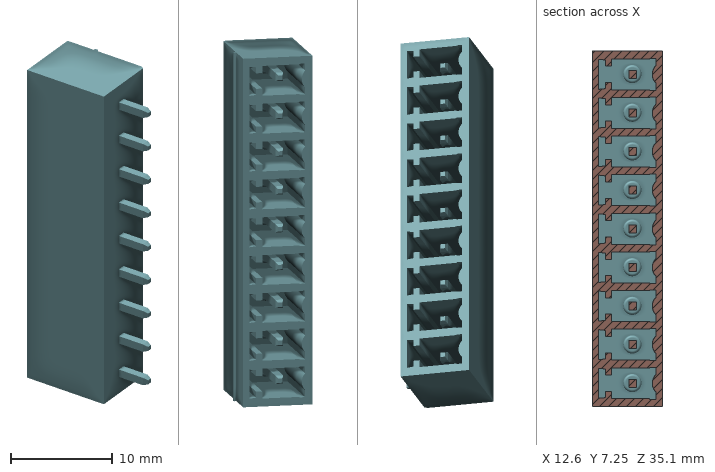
import cadquery as cq


pin_count = 9
pitch = 3.81

housing_depth = 9.2
housing_back_y = 4.0
housing_front_y = -3.0
housing_height = 35.09
edge_chamfer = 0.25

rib_start = 3.15
rib_base_width = 0.45
rib_tip_width = 0.35
rib_projection = 0.25

chamber_depth = 8.0
main_half_height = 1.5
slot_back_half_height = 1.46
slot_tooth_half_height = 1.39
tooth_half_gap = 0.78
corner_half_height = 1.55
slot_back_y = 3.35
tooth_back_y = 2.7
tooth_front_y = 2.06
corner_start_y = -1.7
chamber_front_y = -2.27
bulge_half_width = 0.85
bulge_projection = 0.35

pin_width_y = 0.8
pin_width_z = 0.84
pin_tip_width = 0.45
pin_taper_length = 0.5
pin_start = 1.1
pin_end = 12.6
seat_diameter = 1.8
seat_height = 0.5
seat_rounding = 0.25

pin_heights = [(i - (pin_count - 1) / 2) * pitch for i in range(pin_count)]


def make_housing():
    """Plain block with its rear back edge chamfered."""
    block = cq.Workplane("XY").box(
        housing_depth, housing_back_y - housing_front_y, housing_height, centered=(False, False, True)
    )
    block = block.translate((0, housing_front_y, 0))
    return block.edges(">X and >Y").chamfer(edge_chamfer)


def make_rib():
    """Full-height rib on the back face, its rear flank sloping."""
    return (
        cq.Workplane("XY")
        .workplane(offset=-housing_height / 2)
        .moveTo(rib_start, housing_back_y)
        .lineTo(rib_start, housing_back_y + rib_projection)
        .lineTo(rib_start + rib_tip_width, housing_back_y + rib_projection)
        .lineTo(rib_start + rib_base_width, housing_back_y)
        .close()
        .extrude(housing_height)
    )


def make_chamber(z):
    """Keyed chamber around one pin: back slot, two teeth, stepped corners and a bulged front wall."""
    return (
        cq.Workplane("YZ", origin=(0, 0, z))
        .moveTo(slot_back_y, slot_back_half_height)
        .lineTo(tooth_back_y, slot_tooth_half_height)
        .lineTo(tooth_back_y, tooth_half_gap)
        .lineTo(tooth_front_y, tooth_half_gap)
        .lineTo(tooth_front_y, main_half_height)
        .lineTo(corner_start_y, main_half_height)
        .lineTo(corner_start_y, corner_half_height)
        .lineTo(chamber_front_y, corner_half_height)
        .lineTo(chamber_front_y, bulge_half_width)
        .threePointArc((chamber_front_y + bulge_projection, 0), (chamber_front_y, -bulge_half_width))
        .lineTo(chamber_front_y, -corner_half_height)
        .lineTo(corner_start_y, -corner_half_height)
        .lineTo(corner_start_y, -main_half_height)
        .lineTo(tooth_front_y, -main_half_height)
        .lineTo(tooth_front_y, -tooth_half_gap)
        .lineTo(tooth_back_y, -tooth_half_gap)
        .lineTo(tooth_back_y, -slot_tooth_half_height)
        .lineTo(slot_back_y, -slot_back_half_height)
        .close()
        .extrude(chamber_depth)
    )


def make_seat(z):
    """Round seat on the chamber floor around one pin, its rim rounded."""
    seat = cq.Workplane("YZ", origin=(chamber_depth, 0, z)).circle(seat_diameter / 2).extrude(-seat_height)
    return seat.faces("<X").edges().fillet(seat_rounding)


def make_pin_taper(tip_x, base_x, z):
    """Taper widening from the pin tip to the full pin section."""
    return (
        cq.Workplane("YZ", origin=(tip_x, 0, z))
        .rect(pin_tip_width, pin_tip_width)
        .workplane(offset=base_x - tip_x)
        .rect(pin_width_y, pin_width_z)
        .loft()
    )


def make_pin(z):
    """Rectangular pin with both ends tapered."""
    shank_start = pin_start + pin_taper_length
    shank_end = pin_end - pin_taper_length
    shank = (
        cq.Workplane("YZ", origin=(shank_start, 0, z))
        .rect(pin_width_y, pin_width_z)
        .extrude(shank_end - shank_start)
    )
    front_taper = make_pin_taper(pin_start, shank_start, z)
    tail_taper = make_pin_taper(pin_end, shank_end, z)
    return shank.union(front_taper).union(tail_taper)


result = make_housing().union(make_rib())
for pin_z in pin_heights:
    result = result.cut(make_chamber(pin_z)).union(make_seat(pin_z)).union(make_pin(pin_z))